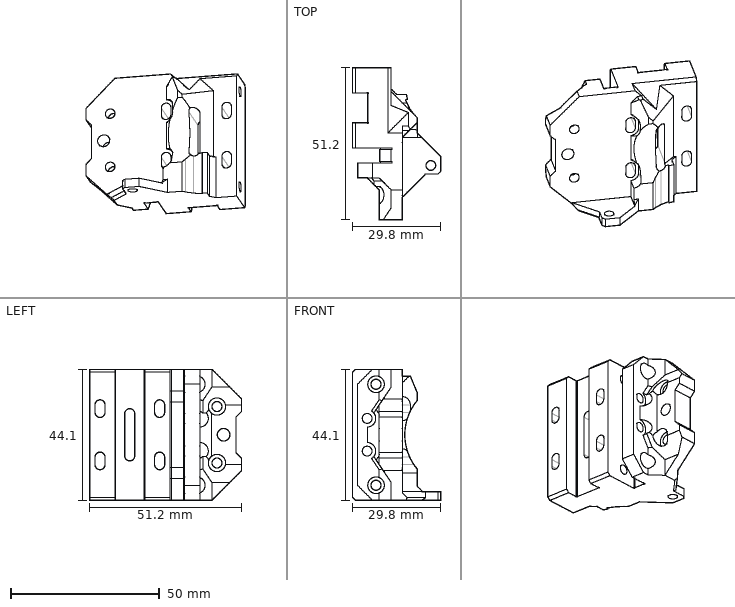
import cadquery as cq
import math

HEIGHT = 44.1
LENGTH = 51.2
MID_Z = HEIGHT / 2

REACH = 60.0

BLOCK_BACK_X = 13.05
BLOCK_START_Y = 24.1
EDGE_CHAMFER = 1.0
BACK_TOP_CHAMFER = 1.15
GROOVE_Y = (32.7, 42.65)
GROOVE_DEPTH = 5.1
RELIEF_RADIUS = 0.2

BODY_BACK_X = 16.8
BODY_END_Y = 29.2
FLANGE_X = 1.75
FLANGE_Y = (14.1, 19.2)
FLANGE_CHAMFER = 5.0
OUTER_FLOOR_X = 13.05
INNER_FLOOR_X = 9.0
OUTER_RAMP_X = 9.0
INNER_RAMP_X = 5.0
FRONT_CHAMFER = 10.0
SLOT_FLOOR_X = 13.05
RAISED_FLOOR_X = 9.2
RAISED_HALF_HEIGHT = 10.95
RELIEF_WIDTH = 0.4
RELIEF_DEPTH = 0.2

MIDDLE_HALF_HEIGHT = 10.0
MIDDLE_SLOPE = 1.5
MIDDLE_FOOT_CHAMFER = 1.0
MIDDLE_OVERLAP = 1.0
END_NOTCH_DEPTH = 1.9
END_NOTCH_HALF_HEIGHT = 6.0

CLAMP_HOLE = 3.3
CLAMP_HEAD = 5.6
CLAMP_X = 7.95
CLAMP_OFFSET_Z = 17.0
BOLT_HOLE = 3.3
BOLT_HEAD = 5.8
FLANGE_HOLE_X = 4.95
FLANGE_HOLE_OFFSET_Z = 5.5
SIDE_Y = 8.33
SIDE_OFFSET_Z = 9.5
SIDE_HEAD_FLOOR_X = 12.0
CENTRE_HOLE = 4.15
CENTRE_HOLE_Y = 6.1
SLOT_WIDTH = 3.3
SHORT_SLOT_LENGTH = 5.85
SHORT_SLOT_Y = (27.64, 47.7)
SHORT_SLOT_OFFSET_Z = 8.8
LONG_SLOT_LENGTH = 17.5
LONG_SLOT_Y = 37.7
SLOT_CLEARANCE = 5.6

RIB_BACK_X = 21.85
RIB_TOP_Z = 41.8
RIB_FRONT_Y = 27.75
RIB_TOP_CHAMFER = 2.3
RIB_WALL_SUM = 56.2
RIB_BEVEL_OFFSET = 99.9
RIB_BASE_TOP_Z = 14.5
RIB_OVERLAP = 1.0
LUG_END_Y = 42.2
LUG_WALL_SUM = 57.1
LUG_SIDE_X = 18.2
LUG_NOSE = (18.6, 40.5)
LUG_NOTCH = (17.9, 40.4)
LUG_FLANK = (19.2, 37.6)
LUG_FLANK_START_Y = 34.0
DUCT_RADIUS = 18.0
DUCT_NEAR_X = 17.66

TAB_THICKNESS = 2.95
TAB_TIP_X = 29.8
TAB_FRONT_START_Y = 7.5
TAB_FRONT_Y = 15.35
TAB_CORNER = 1.05
TAB_WALL_SUM = 51.1
TAB_HOLE = 3.2
TAB_HOLE_XY = (26.4, 18.3)
TAB_EDGE_CHAMFER = 0.9
TAB_WEB = 1.75


def prism_z(points, z0, z1):
    """Extrude an XY outline from z0 to z1."""
    return cq.Workplane("XY").workplane(offset=z0).polyline(points).close().extrude(z1 - z0)


def prism_y(points, y0, y1):
    """Extrude an XZ outline from y0 to y1."""
    return cq.Workplane("XZ").workplane(offset=-y0).polyline(points).close().extrude(y0 - y1)


def prism_x(points, x0, x1):
    """Extrude a YZ outline from x0 to x1."""
    return cq.Workplane("YZ").workplane(offset=x0).polyline(points).close().extrude(x1 - x0)


def box(x, y, z):
    """Box spanning the given (low, high) pairs."""
    size = (x[1] - x[0], y[1] - y[0], z[1] - z[0])
    return cq.Workplane("XY").box(*size, centered=False).translate((x[0], y[0], z[0]))


def rod_x(y, z, diameter, x0, x1):
    """Cylinder parallel to X."""
    return cq.Workplane("YZ", origin=(x0, y, z)).circle(diameter / 2).extrude(x1 - x0)


def rod_y(x, z, diameter, y0, y1):
    """Cylinder parallel to Y."""
    return cq.Workplane("XZ", origin=(x, y0, z)).circle(diameter / 2).extrude(y0 - y1)


def slot_x(y, z, length, width, x0, x1):
    """Round-ended slot body, long along Z and running through along X."""
    return cq.Workplane("YZ", origin=(x0, y, z)).slot2D(length, width, 90).extrude(x1 - x0)


def mirrored_z(offset):
    """The two heights lying the given distance below and above mid height."""
    return (MID_Z - offset, MID_Z + offset)


def half_space(point, normal):
    """Large cube lying on the outer side of a plane."""
    plane = cq.Plane(origin=point, normal=normal)
    return cq.Workplane(plane).rect(2 * REACH, 2 * REACH).extrude(REACH)


def make_clamp_block():
    block = box((0, BLOCK_BACK_X), (BLOCK_START_Y, LENGTH), (0, HEIGHT))
    block = block.edges("|Y and <X").chamfer(EDGE_CHAMFER)
    block = block.edges("|Y and >X and >Z").chamfer(BACK_TOP_CHAMFER)
    block = block.cut(box((0, GROOVE_DEPTH), GROOVE_Y, (0, HEIGHT)))
    for y in GROOVE_Y:
        relief = cq.Workplane("XY").center(GROOVE_DEPTH, y).circle(RELIEF_RADIUS).extrude(HEIGHT)
        block = block.cut(relief)
    return block


def slot_floor(depth_shift):
    """XZ outline of the raised floor of the cross slot."""
    rise = SLOT_FLOOR_X - RAISED_FLOOR_X
    floor_x = SLOT_FLOOR_X + depth_shift
    top_x = RAISED_FLOOR_X + depth_shift
    foot = RAISED_HALF_HEIGHT + rise
    return [
        (BODY_BACK_X, 0),
        (floor_x, 0),
        (floor_x, MID_Z - foot),
        (top_x, MID_Z - RAISED_HALF_HEIGHT),
        (top_x, MID_Z + RAISED_HALF_HEIGHT),
        (floor_x, MID_Z + foot),
        (floor_x, HEIGHT),
        (BODY_BACK_X, HEIGHT),
    ]


def make_front_body():
    ramp_end_y = FLANGE_Y[0] - (OUTER_FLOOR_X - OUTER_RAMP_X)
    outline = [
        (BODY_BACK_X, 0),
        (OUTER_FLOOR_X, 0),
        (OUTER_FLOOR_X, ramp_end_y),
        (OUTER_RAMP_X, FLANGE_Y[0]),
        (OUTER_RAMP_X, FLANGE_Y[1]),
        (BODY_BACK_X, FLANGE_Y[1]),
    ]
    body = prism_z(outline, 0, HEIGHT)
    flange = box((FLANGE_X, BODY_BACK_X), FLANGE_Y, (0, HEIGHT))
    flange = flange.edges("|Y and <X").chamfer(FLANGE_CHAMFER)
    rear = box((BLOCK_BACK_X - BACK_TOP_CHAMFER, BODY_BACK_X), (BLOCK_START_Y, BODY_END_Y), (0, HEIGHT))
    body = body.union(flange).union(rear)

    inner_y = (FLANGE_Y[1] + RELIEF_WIDTH, BLOCK_START_Y - RELIEF_WIDTH)
    body = body.union(prism_y(slot_floor(RELIEF_DEPTH), FLANGE_Y[1], BLOCK_START_Y))
    return body.union(prism_y(slot_floor(0), *inner_y))


def make_pocket_middle():
    ramp_end_y = FLANGE_Y[0] - (INNER_FLOOR_X - INNER_RAMP_X)
    profile = prism_z(
        [
            (BODY_BACK_X, 0),
            (INNER_FLOOR_X, 0),
            (INNER_FLOOR_X, ramp_end_y),
            (INNER_RAMP_X, FLANGE_Y[0]),
            (BODY_BACK_X, FLANGE_Y[0]),
        ],
        0,
        HEIGHT,
    )

    def half_height(x):
        return MIDDLE_HALF_HEIGHT + MIDDLE_SLOPE * (x - INNER_FLOOR_X)

    near_x = INNER_RAMP_X
    far_x = OUTER_FLOOR_X + MIDDLE_OVERLAP
    sides = [
        (near_x, MID_Z - half_height(near_x)),
        (far_x, MID_Z - half_height(far_x)),
        (far_x, MID_Z + half_height(far_x)),
        (near_x, MID_Z + half_height(near_x)),
    ]
    wedge = prism_y(sides, 0, FLANGE_Y[0])
    foot = (
        cq.Workplane("XZ", origin=(0, FLANGE_Y[0] - MIDDLE_FOOT_CHAMFER, 0))
        .polyline(sides)
        .close()
        .extrude(-MIDDLE_FOOT_CHAMFER, taper=-45)
    )
    return wedge.union(foot).intersect(profile)


def make_rib():
    """Bevelled rib behind the block, hollowed on its free side by the round duct."""
    front_diagonal = RIB_FRONT_Y - BODY_BACK_X
    start_x = BLOCK_BACK_X - BACK_TOP_CHAMFER
    wall_y = RIB_WALL_SUM - start_x
    outline = [
        (start_x, BODY_END_Y - RIB_OVERLAP),
        (BODY_BACK_X, RIB_FRONT_Y),
        (RIB_BACK_X, RIB_BACK_X + front_diagonal),
        (RIB_BACK_X, RIB_WALL_SUM - RIB_BACK_X),
        (start_x, wall_y),
    ]
    rib = prism_z(outline, 0, HEIGHT)
    under_block_slope = prism_y(
        [(start_x, 0), (REACH, 0), (REACH, HEIGHT + start_x - REACH), (start_x, HEIGHT)], 0, LENGTH
    )
    front_top_y = RIB_FRONT_Y + RIB_TOP_CHAMFER
    back_top_y = BODY_END_Y + HEIGHT - RIB_TOP_Z
    under_body_slope = prism_x(
        [
            (REACH, 0),
            (REACH, HEIGHT + BODY_END_Y - REACH),
            (back_top_y, RIB_TOP_Z),
            (front_top_y, RIB_TOP_Z),
            (front_top_y - RIB_TOP_Z, 0),
        ],
        BODY_BACK_X - RIB_OVERLAP,
        REACH,
    )
    behind_body = prism_x(
        [(BODY_END_Y, 0), (REACH, 0), (REACH, HEIGHT + BODY_END_Y - REACH), (BODY_END_Y, HEIGHT)],
        0,
        BODY_BACK_X,
    )
    upper_slopes = (under_block_slope, under_body_slope, behind_body)
    pieces = [rib.intersect(slope) for slope in upper_slopes]
    rib = pieces[0].union(pieces[1]).union(pieces[2])
    bevel_normal = cq.Vector(math.sqrt(2), 1, 1)
    bevel_foot = bevel_normal * (RIB_BEVEL_OFFSET / bevel_normal.dot(bevel_normal))
    bevel = half_space(bevel_foot.toTuple(), bevel_normal.toTuple())
    return rib.cut(bevel)


def make_rib_base():
    """Wider foot of the rib, with a rear lug."""
    inside_x = BLOCK_BACK_X - RIB_OVERLAP
    outline = [
        (inside_x, RIB_FRONT_Y),
        (RIB_BACK_X, RIB_FRONT_Y),
        (RIB_BACK_X, LUG_FLANK_START_Y),
        LUG_FLANK,
        LUG_NOTCH,
        LUG_NOSE,
        (LUG_SIDE_X, LUG_END_Y),
        (LUG_WALL_SUM - LUG_END_Y, LUG_END_Y),
        (BLOCK_BACK_X, LUG_WALL_SUM - BLOCK_BACK_X),
        (inside_x, LUG_WALL_SUM - BLOCK_BACK_X),
    ]
    return prism_z(outline, 0, RIB_BASE_TOP_Z)


def make_duct():
    """Round clearance through the rib, parallel to Y."""
    return rod_y(DUCT_NEAR_X + DUCT_RADIUS, MID_Z, 2 * DUCT_RADIUS, 0, LENGTH)


def make_tab():
    root_end_y = TAB_WALL_SUM - RIB_BACK_X
    slope_end_x = BODY_BACK_X + TAB_FRONT_Y - TAB_FRONT_START_Y
    outline = [
        (BODY_BACK_X, TAB_FRONT_START_Y),
        (slope_end_x, TAB_FRONT_Y),
        (TAB_TIP_X - TAB_CORNER, TAB_FRONT_Y),
        (TAB_TIP_X, TAB_FRONT_Y + TAB_CORNER),
        (TAB_TIP_X, TAB_WALL_SUM - TAB_TIP_X),
        (RIB_BACK_X, root_end_y),
        (BODY_BACK_X, root_end_y),
    ]
    tab = prism_z(outline, 0, TAB_THICKNESS)
    slope_middle = ((BODY_BACK_X + slope_end_x) / 2, (TAB_FRONT_START_Y + TAB_FRONT_Y) / 2, 0)
    tab = tab.edges(cq.selectors.NearestToPointSelector(slope_middle)).chamfer(TAB_EDGE_CHAMFER)
    return tab.cut(cq.Workplane("XY").center(*TAB_HOLE_XY).circle(TAB_HOLE / 2).extrude(TAB_THICKNESS))


def make_tab_web():
    """Sloped web between the rib base and the tab."""
    root_end_y = TAB_WALL_SUM - RIB_BACK_X
    outline = [
        (RIB_BACK_X, TAB_THICKNESS),
        (RIB_BACK_X + TAB_WEB, TAB_THICKNESS),
        (RIB_BACK_X, TAB_THICKNESS + TAB_WEB),
    ]
    web = prism_y(outline, RIB_FRONT_Y, root_end_y)
    return web.cut(half_space((RIB_BACK_X, root_end_y, 0), (1, 1, 0)))


def cut_front_corners(part):
    for z, direction in ((0, 1), (HEIGHT, -1)):
        corner = [(0, z), (FRONT_CHAMFER, z), (0, z + direction * FRONT_CHAMFER)]
        part = part.cut(prism_x(corner, 0, TAB_TIP_X))
    return part


def cut_end_notch(part):
    mouth = END_NOTCH_HALF_HEIGHT + END_NOTCH_DEPTH
    outline = [
        (0, MID_Z - mouth),
        (END_NOTCH_DEPTH, MID_Z - END_NOTCH_HALF_HEIGHT),
        (END_NOTCH_DEPTH, MID_Z + END_NOTCH_HALF_HEIGHT),
        (0, MID_Z + mouth),
    ]
    return part.cut(prism_x(outline, 0, BODY_BACK_X))


def cut_holes_along_y(part):
    for z in mirrored_z(CLAMP_OFFSET_Z):
        part = part.cut(rod_y(CLAMP_X, z, CLAMP_HOLE, 0, LENGTH))
        part = part.cut(rod_y(CLAMP_X, z, CLAMP_HEAD, 0, FLANGE_Y[1]))
    for z in mirrored_z(FLANGE_HOLE_OFFSET_Z):
        part = part.cut(rod_y(FLANGE_HOLE_X, z, BOLT_HOLE, 0, FLANGE_Y[1]))
        part = part.cut(rod_y(FLANGE_HOLE_X, z, BOLT_HEAD, 0, FLANGE_Y[0]))
    return part


def cut_holes_along_x(part):
    part = part.cut(rod_x(CENTRE_HOLE_Y, MID_Z, CENTRE_HOLE, 0, BODY_BACK_X))
    for z in mirrored_z(SIDE_OFFSET_Z):
        part = part.cut(rod_x(SIDE_Y, z, BOLT_HOLE, 0, BODY_BACK_X))
        part = part.cut(rod_x(SIDE_Y, z, BOLT_HEAD, 0, SIDE_HEAD_FLOOR_X))
    return part


def cut_slots(part):
    clearance_length = SHORT_SLOT_LENGTH - SLOT_WIDTH + SLOT_CLEARANCE
    part = part.cut(slot_x(LONG_SLOT_Y, MID_Z, LONG_SLOT_LENGTH, SLOT_WIDTH, 0, TAB_TIP_X))
    for z in mirrored_z(SHORT_SLOT_OFFSET_Z):
        for y in SHORT_SLOT_Y:
            part = part.cut(slot_x(y, z, SHORT_SLOT_LENGTH, SLOT_WIDTH, 0, TAB_TIP_X))
        head = slot_x(SHORT_SLOT_Y[0], z, clearance_length, SLOT_CLEARANCE, BODY_BACK_X, TAB_TIP_X)
        part = part.cut(head)
    return part


rib = make_rib().union(make_rib_base()).cut(make_duct())
result = make_clamp_block().union(make_front_body()).union(make_pocket_middle())
result = result.union(rib).union(make_tab()).union(make_tab_web())
result = cut_front_corners(result)
result = cut_end_notch(result)
result = cut_holes_along_y(result)
result = cut_holes_along_x(result)
result = cut_slots(result)